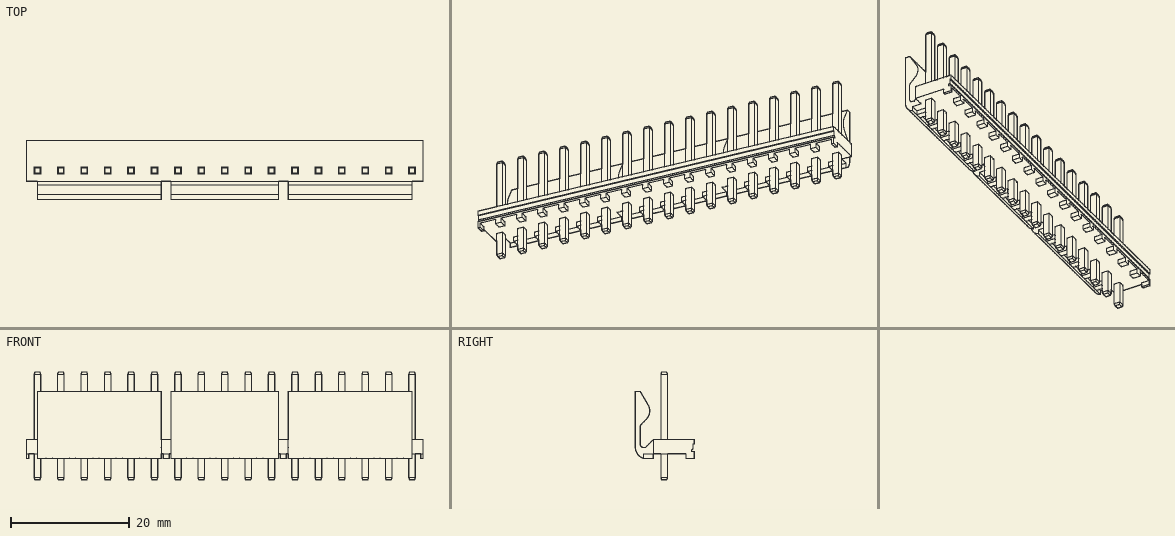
import cadquery as cq
import math


body_length = 67.2
pin_count = 17
pin_pitch = 3.95
row_length = (pin_count - 1) * pin_pitch

pin_width = 1.15
pin_bottom = -3.6
pin_length = 18.3
pin_tip_height = 0.4
pin_tip_inset = 0.15

body_back = 5.1
body_front = -1.8
body_top = 3.2
foot_height = 0.8

groove_top = 2.4
groove_slope_top = 1.6
groove_slope_bottom = 1.4
groove_bottom = 1.2
groove_step_depth = 0.2
groove_depth = 0.5

foot_width = 1.1
back_foot_depth = 1.4
front_foot_depth = 1.7
front_foot_front = body_front - front_foot_depth

clip_front = -4.9
clip_top = 11.35
clip_wall = 0.9
clip_inner = clip_front + clip_wall
clip_floor = 1.9
clip_inner_radius = 0.55
clip_bend_height = 1.95
clip_gap = 1.6
pitches_to_gap = 2.5
clip_gap_offset = pitches_to_gap * pin_pitch

nose_tip = -2.4
nose_tip_height = 8.05
nose_radius = 2.0
nose_edge_setback = 0.2
nose_root_radius = 0.6
nose_lower_angle = math.radians(45)

clip_spans = [
    (-row_length / 2, -clip_gap_offset - clip_gap / 2),
    (-clip_gap_offset + clip_gap / 2, clip_gap_offset - clip_gap / 2),
    (clip_gap_offset + clip_gap / 2, row_length / 2),
]


def extrude_along_row(outline, x_start, x_end):
    """Extrude a closed (Y, Z) outline from x_start to x_end."""
    return outline.extrude(x_end - x_start).translate((x_start, 0, 0))


def box_between(x_start, x_end, y_start, y_end, z_start, z_end):
    size = (x_end - x_start, y_end - y_start, z_end - z_start)
    return cq.Workplane("XY").box(*size, centered=False).translate((x_start, y_start, z_start))


def make_body():
    outline = cq.Workplane("YZ").polyline([
        (body_front, foot_height),
        (body_front, body_top),
        (body_back, body_top),
        (body_back, groove_top),
        (body_back - groove_step_depth, groove_top),
        (body_back - groove_step_depth, groove_slope_top),
        (body_back - groove_depth, groove_slope_bottom),
        (body_back - groove_depth, groove_bottom),
        (body_back, groove_bottom),
        (body_back, foot_height),
    ]).close()
    return extrude_along_row(outline, -body_length / 2, body_length / 2)


def make_clip(x_start, x_end):
    bend_depth = front_foot_front - clip_front
    bend_radius = (bend_depth**2 + clip_bend_height**2) / (2 * bend_depth)

    lower_end_y = nose_tip - nose_radius * (1 - math.cos(nose_lower_angle))
    lower_end_z = nose_tip_height - nose_radius * math.sin(nose_lower_angle)
    upper_edge_angle = math.acos(1 - nose_edge_setback / nose_radius)
    upper_edge_y = nose_tip - nose_edge_setback
    upper_edge_z = nose_tip_height + nose_radius * math.sin(upper_edge_angle)

    root_end_y = clip_inner + nose_root_radius * (1 - math.cos(nose_lower_angle))
    root_end_z = lower_end_z - (lower_end_y - root_end_y) / math.tan(nose_lower_angle)
    root_start_z = root_end_z - nose_root_radius * math.sin(nose_lower_angle)

    outline = (
        cq.Workplane("YZ")
        .moveTo(body_front, foot_height)
        .lineTo(body_front, body_top)
        .lineTo(body_front - (body_top - clip_floor), clip_floor)
        .lineTo(clip_inner + clip_inner_radius, clip_floor)
        .radiusArc((clip_inner, clip_floor + clip_inner_radius), clip_inner_radius)
        .lineTo(clip_inner, root_start_z)
        .radiusArc((root_end_y, root_end_z), nose_root_radius)
        .lineTo(lower_end_y, lower_end_z)
        .threePointArc((nose_tip, nose_tip_height), (upper_edge_y, upper_edge_z))
        .lineTo(clip_inner, clip_top)
        .lineTo(clip_front, clip_top)
        .lineTo(clip_front, clip_bend_height)
        .radiusArc((front_foot_front, 0), -bend_radius)
        .lineTo(front_foot_front, foot_height)
        .close()
    )
    return extrude_along_row(outline, x_start, x_end)


def make_pin(x):
    half_width = pin_width / 2
    top = pin_bottom + pin_length
    pin = box_between(x - half_width, x + half_width, -half_width, half_width, pin_bottom, top)
    return pin.faces("<Z or >Z").chamfer(pin_tip_height, pin_tip_inset)


def make_foot(x, y_front, y_back):
    x_start = max(x - foot_width / 2, -body_length / 2)
    x_end = min(x + foot_width / 2, body_length / 2)
    return box_between(x_start, x_end, y_front, y_back, 0, foot_height)


def is_under_clip(x):
    return any(start < x < end for start, end in clip_spans)


result = make_body()

for span_start, span_end in clip_spans:
    result = result.union(make_clip(span_start, span_end))

for index in range(pin_count + 1):
    foot_x = (index - pin_count / 2) * pin_pitch
    result = result.union(make_foot(foot_x, body_back - back_foot_depth, body_back))
    if is_under_clip(foot_x):
        result = result.union(make_foot(foot_x, front_foot_front, body_front))

for index in range(pin_count):
    result = result.union(make_pin(index * pin_pitch - row_length / 2))